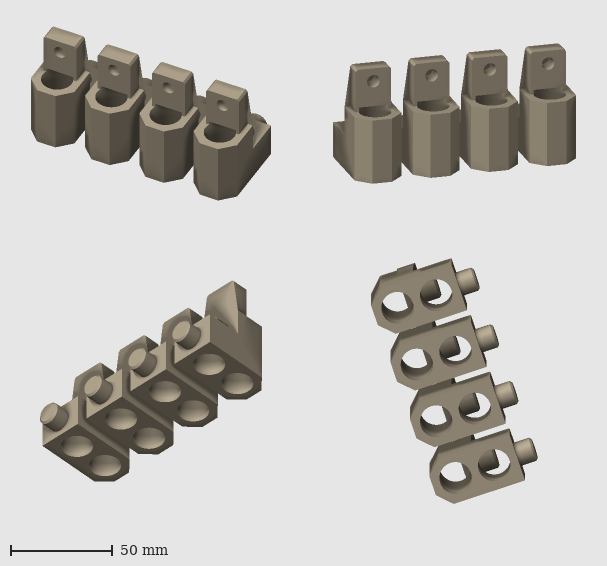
import cadquery as cq

block_count = 4
block_pitch = 30.0

block_width = 24.0
block_depth = 44.0
block_height = 33.0
step_depth = 20.0
step_height = 18.0
front_chamfer = 7.0
wall_y = block_depth - step_depth

bore_diameter = 16.0
bore_inset = 12.0
front_bore_height = 35.0

overall_height = 54.7
tab_width = 18.2
tab_thickness = 9.2
tab_chamfer = 1.0
tab_height = overall_height - block_height

plate_thickness = 0.1

tab_hole_diameter = 6.5
tab_hole_drop = 6.7
tab_hole_depth = tab_thickness - plate_thickness

peg_diameter = 12.0
peg_length = 9.0
peg_chamfer = 1.0
lower_peg_z = 9.0
upper_peg_z = 24.0


def stepped_block():
    tall_part = (
        cq.Workplane("XY")
        .box(block_width, wall_y, block_height, centered=(True, False, False))
        .edges("|Z and <Y")
        .chamfer(front_chamfer)
    )
    step = (
        cq.Workplane("XY", origin=(0, wall_y, 0))
        .box(block_width, step_depth, step_height, centered=(True, False, False))
    )
    return tall_part.union(step)


def tab():
    return (
        cq.Workplane("XY", origin=(0, wall_y - tab_thickness, block_height))
        .box(tab_width, tab_thickness, tab_height, centered=(True, False, False))
        .edges("|Y and >Z")
        .chamfer(tab_chamfer)
    )


def tapered_plate():
    """Trapezoid from the full block width up to the foot of the tab's top chamfers."""
    plate_top = overall_height - tab_chamfer
    return (
        cq.Workplane("XZ", origin=(0, wall_y, 0))
        .moveTo(-block_width / 2, block_height)
        .lineTo(block_width / 2, block_height)
        .lineTo(tab_width / 2, plate_top)
        .lineTo(-tab_width / 2, plate_top)
        .close()
        .extrude(plate_thickness)
    )


def peg(base_y, axis_z):
    return (
        cq.Workplane("XZ", origin=(0, base_y, axis_z))
        .circle(peg_diameter / 2)
        .extrude(-peg_length)
        .faces(">Y")
        .chamfer(peg_chamfer)
    )


def vertical_bore(axis_y, height):
    return cq.Workplane("XY", origin=(0, axis_y, 0)).circle(bore_diameter / 2).extrude(height)


def tab_hole():
    front_y = wall_y - tab_thickness
    return (
        cq.Workplane("XZ", origin=(0, front_y, overall_height - tab_hole_drop))
        .circle(tab_hole_diameter / 2)
        .extrude(-tab_hole_depth)
    )


def connector_block():
    """One complete block, centred on X = 0."""
    return (
        stepped_block()
        .union(tab())
        .union(tapered_plate())
        .cut(vertical_bore(bore_inset, front_bore_height))
        .cut(vertical_bore(block_depth - bore_inset, step_height))
        .cut(tab_hole())
        .union(peg(block_depth, lower_peg_z))
        .union(peg(wall_y, upper_peg_z))
    )


connector_blocks = []
for index in range(block_count):
    offset_x = (index - (block_count - 1) / 2) * block_pitch
    connector_blocks.append(connector_block().translate((offset_x, 0, 0)).solids().val())

result = cq.Compound.makeCompound(connector_blocks)